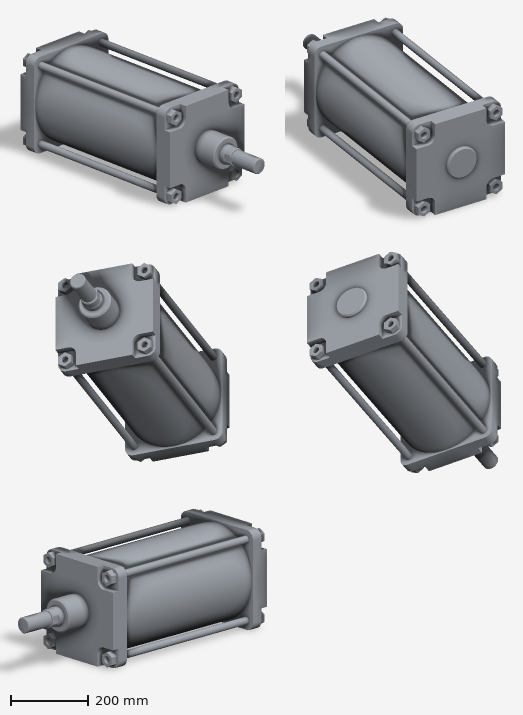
import cadquery as cq
import math

TOTAL_LENGTH = 751.0

COVER_SIZE = 270.0
COVER_THICKNESS = 50.0
COVER_CORNER_RADIUS = 22.5
BODY_LENGTH = 550.0
NUT_POCKET_SIZE = 57.0
NUT_POCKET_DEPTH = 20.0
NUT_POCKET_RADIUS = 22.0

BOSS_DIAMETER = 90.0
REAR_BOSS_LENGTH = 10.0
FRONT_BOSS_LENGTH = 70.0
BOSS_CHAMFER = 4.0

BARREL_DIAMETER = 261.0

TIE_ROD_SPACING = 220.0
TIE_ROD_DIAMETER = 20.0
NUT_ACROSS_FLATS = 36.0
NUT_THICKNESS = 18.0
NUT_BORE_DIAMETER = 17.0
NUT_BORE_DEPTH = 15.0
NUT_BORE_CHAMFER = 1.5

SHANK_DIAMETER = 52.0
SHANK_EXPOSED_LENGTH = 16.0
WRENCH_DIAMETER = 49.5
SHANK_TAPER_LENGTH = 2.0
SHANK_TAPER_DEPTH = (SHANK_DIAMETER - WRENCH_DIAMETER) / 2
WRENCH_ACROSS_FLATS = 44.0
WRENCH_LENGTH = 22.0
WRENCH_CHAMFER = 2.0
UNDERCUT_DIAMETER = 39.0
UNDERCUT_LENGTH = 2.0
THREAD_DIAMETER = 43.0
THREAD_CHAMFER = 2.0

FRONT_COVER_START = BODY_LENGTH - COVER_THICKNESS
FRONT_BOSS_END = BODY_LENGTH + FRONT_BOSS_LENGTH
WRENCH_START = FRONT_BOSS_END + SHANK_EXPOSED_LENGTH
UNDERCUT_START = WRENCH_START + WRENCH_LENGTH
THREAD_START = UNDERCUT_START + UNDERCUT_LENGTH
ROD_END = TOTAL_LENGTH - REAR_BOSS_LENGTH

TIE_ROD_OFFSETS = (-TIE_ROD_SPACING / 2, TIE_ROD_SPACING / 2)


def section(x):
    """Workplane across the cylinder axis at x, with local axes along Y and Z."""
    return cq.Workplane("YZ", origin=(x, 0, 0))


def round_bar(x_start, x_end, diameter):
    return section(x_start).circle(diameter / 2).extrude(x_end - x_start)


def mirror_end_for_end(shape):
    """Swap the rear and front ends of a shape about the middle of the body."""
    return shape.mirror("YZ", (BODY_LENGTH / 2, 0, 0))


def cover_plate():
    """Rear cover plate with a nut pocket in each corner and holes for the tie rods."""
    plate = section(0).rect(COVER_SIZE, COVER_SIZE).extrude(COVER_THICKNESS)
    plate = plate.edges("|X").fillet(COVER_CORNER_RADIUS)

    pockets = (
        section(0)
        .rect(COVER_SIZE, COVER_SIZE, forConstruction=True)
        .vertices()
        .rect(2 * NUT_POCKET_SIZE, 2 * NUT_POCKET_SIZE)
        .extrude(NUT_POCKET_DEPTH)
        .edges("|X")
        .fillet(NUT_POCKET_RADIUS)
    )
    holes = (
        section(0)
        .rect(TIE_ROD_SPACING, TIE_ROD_SPACING, forConstruction=True)
        .vertices()
        .circle(TIE_ROD_DIAMETER / 2)
        .extrude(COVER_THICKNESS)
    )
    return plate.cut(pockets).cut(holes)


def make_rear_cover():
    boss = round_bar(-REAR_BOSS_LENGTH, COVER_THICKNESS, BOSS_DIAMETER)
    boss = boss.faces("<X").chamfer(BOSS_CHAMFER)
    return cover_plate().union(boss)


def make_front_cover():
    """Front cover with its long boss, bored through for the piston rod."""
    boss = round_bar(FRONT_COVER_START, FRONT_BOSS_END, BOSS_DIAMETER)
    boss = boss.faces(">X").chamfer(BOSS_CHAMFER)
    rod_bore = round_bar(FRONT_COVER_START, FRONT_BOSS_END, SHANK_DIAMETER)
    return mirror_end_for_end(cover_plate()).union(boss).cut(rod_bore)


def make_barrel():
    return round_bar(COVER_THICKNESS, FRONT_COVER_START, BARREL_DIAMETER)


def make_nut():
    """Hexagonal nut on the axis, seated in the rear pocket, with a blind bore in its outer face."""
    outer_face = NUT_POCKET_DEPTH - NUT_THICKNESS
    across_corners = NUT_ACROSS_FLATS / math.cos(math.pi / 6)
    hexagon = section(outer_face).polygon(6, across_corners).extrude(NUT_THICKNESS)
    hexagon = hexagon.rotate((0, 0, 0), (1, 0, 0), 90)
    bore = round_bar(outer_face, outer_face + NUT_BORE_DEPTH, NUT_BORE_DIAMETER)
    nut = hexagon.cut(bore)
    return nut.faces("<X").edges("%CIRCLE").chamfer(NUT_BORE_CHAMFER)


def make_tie_rod(y, z):
    """Bar through both covers with a nut fixed on each end."""
    nut = make_nut()
    bar = round_bar(NUT_POCKET_DEPTH, BODY_LENGTH - NUT_POCKET_DEPTH, TIE_ROD_DIAMETER)
    return bar.union(nut).union(mirror_end_for_end(nut)).translate((0, y, z))


def make_piston_rod():
    """Stepped rod: shank in the front boss, wrench flats, thread undercut and threaded end."""
    shank = round_bar(FRONT_COVER_START, WRENCH_START, SHANK_DIAMETER)
    shank = shank.faces(">X").chamfer(SHANK_TAPER_LENGTH, SHANK_TAPER_DEPTH)
    wrench = round_bar(WRENCH_START, UNDERCUT_START, WRENCH_DIAMETER).faces(">X").chamfer(WRENCH_CHAMFER)
    flats = section(WRENCH_START).rect(WRENCH_ACROSS_FLATS, WRENCH_DIAMETER).extrude(WRENCH_LENGTH)
    undercut = round_bar(UNDERCUT_START, THREAD_START, UNDERCUT_DIAMETER)
    thread = round_bar(THREAD_START, ROD_END, THREAD_DIAMETER).faces(">X").chamfer(THREAD_CHAMFER)
    return shank.union(wrench.intersect(flats)).union(undercut).union(thread)


rear_cover = make_rear_cover()
front_cover = make_front_cover()
barrel = make_barrel()
piston_rod = make_piston_rod()
tie_rods = [make_tie_rod(y, z) for y in TIE_ROD_OFFSETS for z in TIE_ROD_OFFSETS]

result = cq.Compound.makeCompound(
    [
        rear_cover.val(),
        front_cover.val(),
        barrel.val(),
        piston_rod.val(),
        *[tie_rod.val() for tie_rod in tie_rods],
    ]
)